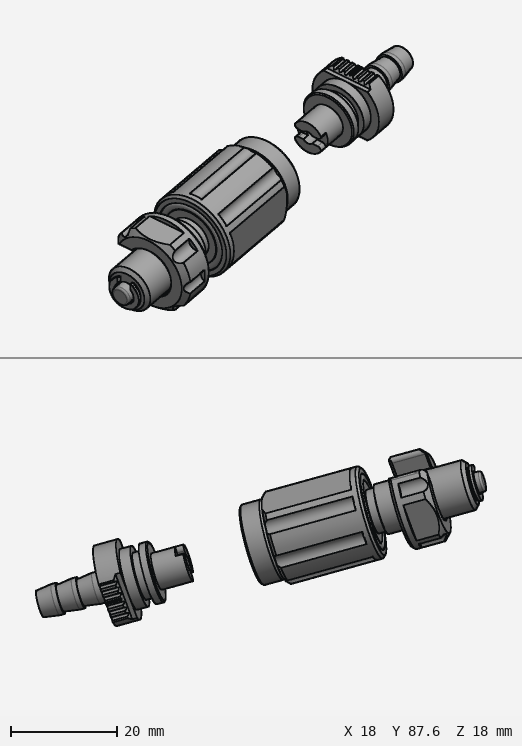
import cadquery as cq
import math


LENGTH = 87.6

GRIP_RADIUS = 9.0
GRIP_FLAT = 8.05
GROOVE_FLOOR = 8.05
GROOVE_RADIUS = 1.6
GRIP_STEP_ANGLE = 45

STEM_RADIUS = 4.9
STEM_BACK = 20.1
STEM_FRONT = 3.0
NECK_RADIUS = 4.3
CONE_END_RADIUS = 4.1
CONE_END = 2.2
TIP_NECK_RADIUS = 3.2
DISC_BACK = 1.8
DISC_RADIUS = 3.5
DISC_FRONT = 1.2
PIN_RADIUS = 2.0
PIN_TIP_FILLET = 0.4
PIN_RECESS_RADIUS = 2.3
KEYWAY_WIDTH = 3.1

SLEEVE_FRONT = 21.9
SLEEVE_FRONT_CHAMFER = 0.5
SLEEVE_RIM_BACK = 23.55
SLEEVE_BACK = 41.15
SLEEVE_BACK_CHAMFER = 0.7
COLLAR_RADIUS = 7.9
COLLAR_BACK = 45.8
COLLAR_BACK_CHAMFER = 0.35
COLLAR_FRONT_CHAMFER = 0.3
COLLAR_FRONT = 41.8

RING_CENTRE_RADIUS = 6.7
RING_WIRE_RADIUS = 0.74
RING_PROTRUSION = 0.3

NUT_FRONT = 8.9
NUT_RIM_FRONT = 14.5
NUT_BACK = 16.3
NUT_FRONT_CHAMFER = 1.2
NUT_BACK_CHAMFER = 0.5
NUT_BORE_RADIUS = 5.1
NUT_SLOT_WIDTH = 6.3
NUT_FRONT_BEVEL = 0.3
NUT_MOUTH_FILLET = 0.8

NOSE_RADIUS = 3.6
NOSE_FRONT = 58.3
FITTING_FLANGE_RADIUS = 5.95
FITTING_FLANGE_FRONT = 64.5
FITTING_FLANGE_CHAMFER = 0.3
LATCH_GROOVE_RADIUS = 4.6
LATCH_GROOVE_FRONT = 66.2
LATCH_GROOVE_BACK = 67.9
HEAD_RADIUS = 7.9
HEAD_FRONT = 70.05
HEAD_BACK = 74.6
HEAD_LEDGE = FITTING_FLANGE_RADIUS
PAD_HEIGHT = 6.6
PAD_FRONT = 71.6
PAD_SLOPE = PAD_HEIGHT - HEAD_LEDGE
BARB_COUNT = 3
BARB_PITCH = 4.0
BARB_TAPER = 3.1
BARB_RADIUS = 3.1
BARB_TIP_RADIUS = 2.6
FITTING_BORE_RADIUS = 1.4
NOSE_SLOT_WIDTH = 1.8
NOSE_SLOT_DEPTH = 1.5
NOSE_SLOT_FILLET = 0.9

PAD_GROOVE_RADIUS = 0.35
PAD_GROOVE_FIRST = 1.0
PAD_GROOVE_PITCH = 1.3
PAD_GROOVES_PER_SIDE = 3
PAD_CENTRE_GROOVE_RADIUS = 0.2


def turned(profile):
    """Solid turned about the Y axis from (radius, y) points; the profile closes along the axis."""
    points = [(0, profile[0][1])] + profile + [(0, profile[-1][1])]
    return cq.Workplane("XY").polyline(points).close().revolve(360, (0, 0, 0), (0, 1, 0))


def rod(radius, y_start, y_end, x=0.0, z=0.0):
    """Round bar parallel to the Y axis."""
    start = cq.Vector(x, y_start, z)
    return cq.Workplane(cq.Solid.makeCylinder(radius, y_end - y_start, start, cq.Vector(0, 1, 0)))


def block(x_range, y_range, z_range):
    """Box between the given limits."""
    size = [high - low for low, high in (x_range, y_range, z_range)]
    corner = cq.Vector(x_range[0], y_range[0], z_range[0])
    return cq.Workplane(cq.Solid.makeBox(*size, corner))


def cut_grip(blank, flat_angle, y_start, y_end):
    """Cut two opposite flats, facing flat_angle and its opposite, and a groove at each other step."""
    reach = 2 * GRIP_RADIUS
    groove_centre = GROOVE_FLOOR + GROOVE_RADIUS
    flat_cut = block((GRIP_FLAT, reach), (y_start, y_end), (-reach, reach))
    groove_cut = rod(GROOVE_RADIUS, y_start, y_end, x=groove_centre)
    for turn in range(0, 360, GRIP_STEP_ANGLE):
        cutter = flat_cut if turn % 180 == 0 else groove_cut
        blank = blank.cut(cutter.rotate((0, 0, 0), (0, 1, 0), flat_angle + turn))
    return blank


def make_sleeve():
    front_radius = GRIP_RADIUS - SLEEVE_FRONT_CHAMFER
    back_radius = GRIP_RADIUS - SLEEVE_BACK_CHAMFER
    sleeve = turned([
        (front_radius, SLEEVE_FRONT),
        (GRIP_RADIUS, SLEEVE_FRONT + SLEEVE_FRONT_CHAMFER),
        (GRIP_RADIUS, SLEEVE_BACK - SLEEVE_BACK_CHAMFER),
        (back_radius, SLEEVE_BACK),
    ])
    return cut_grip(sleeve, 0, SLEEVE_RIM_BACK, SLEEVE_BACK)


def make_collar():
    return turned([
        (COLLAR_RADIUS - COLLAR_FRONT_CHAMFER, SLEEVE_BACK),
        (COLLAR_RADIUS, COLLAR_FRONT),
        (COLLAR_RADIUS, COLLAR_BACK - COLLAR_BACK_CHAMFER),
        (COLLAR_RADIUS - COLLAR_BACK_CHAMFER, COLLAR_BACK),
    ])


def make_stem():
    return turned([
        (DISC_RADIUS, DISC_FRONT),
        (DISC_RADIUS, DISC_BACK),
        (TIP_NECK_RADIUS, DISC_BACK),
        (TIP_NECK_RADIUS, CONE_END),
        (CONE_END_RADIUS, CONE_END),
        (STEM_RADIUS, STEM_FRONT),
        (STEM_RADIUS, STEM_BACK),
        (NECK_RADIUS, STEM_BACK),
        (NECK_RADIUS, SLEEVE_FRONT),
    ])


def make_pin():
    return rod(PIN_RADIUS, 0, CONE_END).faces("<Y").edges().fillet(PIN_TIP_FILLET)


def make_body():
    half_key = KEYWAY_WIDTH / 2
    pin_recess = rod(PIN_RECESS_RADIUS, DISC_FRONT, CONE_END)
    keyway = block((-half_key, half_key), (DISC_FRONT, CONE_END), (0, DISC_RADIUS))
    stem = make_stem().cut(pin_recess).cut(keyway).union(make_pin())
    ring_depth = 2 * RING_WIRE_RADIUS - RING_PROTRUSION
    ring_seat_back = SLEEVE_FRONT + ring_depth
    ring_seat = rod(RING_CENTRE_RADIUS + RING_WIRE_RADIUS, SLEEVE_FRONT, ring_seat_back).cut(
        rod(RING_CENTRE_RADIUS - RING_WIRE_RADIUS, SLEEVE_FRONT, ring_seat_back)
    )
    return make_sleeve().cut(ring_seat).union(make_collar()).union(stem)


def make_seal_ring():
    centre = cq.Vector(0, SLEEVE_FRONT - RING_PROTRUSION + RING_WIRE_RADIUS, 0)
    ring = cq.Solid.makeTorus(RING_CENTRE_RADIUS, RING_WIRE_RADIUS, centre, cq.Vector(0, 1, 0))
    return cq.Workplane(ring)


def make_nut_bevel(face_y, inner_y):
    """Cutter that bevels the bore and the slot at one end face, at 45 degrees down to inner_y."""
    bevel = abs(inner_y - face_y)
    half_slot = NUT_SLOT_WIDTH / 2
    bore_bevel = turned([(NUT_BORE_RADIUS + bevel, face_y), (NUT_BORE_RADIUS, inner_y)])
    slot_outline = [
        (face_y, -half_slot - bevel),
        (inner_y, -half_slot),
        (inner_y, half_slot),
        (face_y, half_slot + bevel),
    ]
    slot_bevel = cq.Workplane("YZ").polyline(slot_outline).close().extrude(-GRIP_RADIUS)
    return bore_bevel.union(slot_bevel)


def make_nut():
    half_slot = NUT_SLOT_WIDTH / 2
    slot = block((-2 * GRIP_RADIUS, 0), (NUT_FRONT, NUT_BACK), (-half_slot, half_slot))
    blank = rod(GRIP_RADIUS, NUT_FRONT, NUT_BACK).cut(rod(NUT_BORE_RADIUS, NUT_FRONT, NUT_BACK)).cut(slot)
    blank = blank.edges("|Y").edges("<X").fillet(NUT_MOUTH_FILLET)
    nut = cut_grip(blank, 90, NUT_FRONT, NUT_RIM_FRONT)
    envelope = turned([
        (GRIP_RADIUS - NUT_FRONT_CHAMFER, NUT_FRONT),
        (GRIP_RADIUS, NUT_FRONT + NUT_FRONT_CHAMFER),
        (GRIP_RADIUS, NUT_BACK - NUT_BACK_CHAMFER),
        (GRIP_RADIUS - NUT_BACK_CHAMFER, NUT_BACK),
    ])
    nut = nut.intersect(envelope)
    nut = nut.cut(make_nut_bevel(NUT_FRONT, NUT_FRONT + NUT_FRONT_BEVEL))
    return nut.cut(make_nut_bevel(NUT_BACK, NUT_BACK - NUT_BACK_CHAMFER))


def make_barbs():
    """Tail of tapered barbs, each narrowing towards the back; the first grows out of the head."""
    profile = [(BARB_RADIUS, HEAD_FRONT)]
    for index in range(BARB_COUNT):
        barb_end = LENGTH - (BARB_COUNT - 1 - index) * BARB_PITCH
        profile.append((BARB_RADIUS, barb_end - BARB_TAPER))
        profile.append((BARB_TIP_RADIUS, barb_end))
        if index < BARB_COUNT - 1:
            profile.append((BARB_RADIUS, barb_end))
    return turned(profile)


def make_head():
    """Round head trimmed top and bottom to a ledge and a higher grooved pad with a sloping front."""
    outline = [
        (HEAD_FRONT, HEAD_LEDGE),
        (PAD_FRONT - PAD_SLOPE, HEAD_LEDGE),
        (PAD_FRONT, PAD_HEIGHT),
        (HEAD_BACK, PAD_HEIGHT),
    ]
    mirrored = [(y, -z) for y, z in reversed(outline)]
    trim = cq.Workplane("YZ").polyline(outline + mirrored).close().extrude(HEAD_RADIUS, both=True)
    head = rod(HEAD_RADIUS, HEAD_FRONT, HEAD_BACK).intersect(trim)
    for z in (-PAD_HEIGHT, PAD_HEIGHT):
        head = head.cut(rod(PAD_CENTRE_GROOVE_RADIUS, HEAD_FRONT, HEAD_BACK, z=z))
        for index in range(PAD_GROOVES_PER_SIDE):
            offset = PAD_GROOVE_FIRST + index * PAD_GROOVE_PITCH
            for x in (-offset, offset):
                head = head.cut(rod(PAD_GROOVE_RADIUS, HEAD_FRONT, HEAD_BACK, x=x, z=z))
    return head


def make_nose_slot():
    """Cutter for the crosswise slot in the nose tip, with rounded edges at both mouths."""
    half_slot = NOSE_SLOT_WIDTH / 2
    half_mouth = half_slot + NOSE_SLOT_FILLET
    mouth_x = math.sqrt(NOSE_RADIUS**2 - half_mouth**2)
    throat_x = mouth_x - NOSE_SLOT_FILLET
    outside = 2 * NOSE_RADIUS
    slot_back = NOSE_FRONT + NOSE_SLOT_DEPTH
    slot = block((-outside, outside), (NOSE_FRONT, slot_back), (-half_slot, half_slot))
    for side in (-1, 1):
        low_x, high_x = sorted((side * throat_x, side * outside))
        flare = block((low_x, high_x), (NOSE_FRONT, slot_back), (-half_mouth, half_mouth))
        shoulder_range = sorted((side * throat_x, side * mouth_x))
        for z_side in (-1, 1):
            z_range = sorted((z_side * half_slot, z_side * half_mouth))
            corner = rod(NOSE_SLOT_FILLET, NOSE_FRONT, slot_back, x=side * throat_x, z=z_side * half_mouth)
            flare = flare.cut(corner.intersect(block(shoulder_range, (NOSE_FRONT, slot_back), z_range)))
        slot = slot.union(flare)
    return slot


def make_fitting():
    front = turned([
        (NOSE_RADIUS, NOSE_FRONT),
        (NOSE_RADIUS, FITTING_FLANGE_FRONT),
        (FITTING_FLANGE_RADIUS - FITTING_FLANGE_CHAMFER, FITTING_FLANGE_FRONT),
        (FITTING_FLANGE_RADIUS, FITTING_FLANGE_FRONT + FITTING_FLANGE_CHAMFER),
        (FITTING_FLANGE_RADIUS, LATCH_GROOVE_FRONT),
        (LATCH_GROOVE_RADIUS, LATCH_GROOVE_FRONT),
        (LATCH_GROOVE_RADIUS, LATCH_GROOVE_BACK),
        (FITTING_FLANGE_RADIUS, LATCH_GROOVE_BACK),
        (FITTING_FLANGE_RADIUS, HEAD_FRONT),
    ])
    bore = rod(FITTING_BORE_RADIUS, NOSE_FRONT, LENGTH)
    return front.union(make_head()).union(make_barbs()).cut(bore).cut(make_nose_slot())


body = make_body()
seal_ring = make_seal_ring()
nut = make_nut()
fitting = make_fitting()

result = cq.Compound.makeCompound([
    *body.solids().vals(),
    *seal_ring.solids().vals(),
    *nut.solids().vals(),
    *fitting.solids().vals(),
])